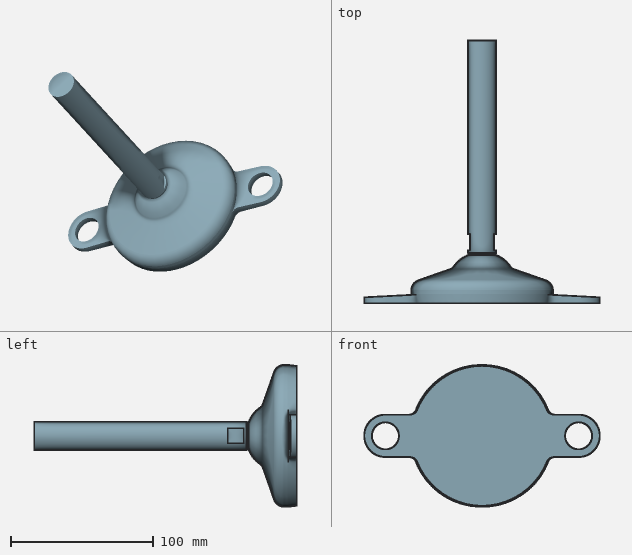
import cadquery as cq
import math

total_length = 185.0
overall_width = 166.0

foot_radius = 50.05
skirt_bottom_radius = 49.2
skirt_height = 6.5
rim_top = 9.5
cone_outer_radius = 44.5
cone_outer_height = 16.3
cone_inner_radius = 21.8
cone_inner_height = 24.2
dome_base_radius = 20.4
dome_base_height = 25.3
dome_mid_radius = 15.5
dome_mid_height = 30.7
dome_top_radius = 10.0
dome_top = 33.9

lug_radius = 15.0
lug_hole_radius = 9.5
lug_centre = overall_width / 2 - lug_radius
lug_tip_height = 4.3
lug_slope_angle = 3.0
lug_fillet = 5.0

stem_radius = 10.0
neck_radius = 9.2
neck_top = 34.8
taper_end_radius = 9.6
taper_top = 35.5
flat_distance = 8.5
flat_start = 37.4
flat_end = 48.7


def make_skirt_with_lugs():
    """Tapered lower disc joined by fillets to two sloping, pierced lugs."""
    skirt = (
        cq.Workplane("XY")
        .lineTo(skirt_bottom_radius, 0)
        .lineTo(foot_radius, skirt_height)
        .lineTo(0, skirt_height)
        .close()
        .revolve(360, (0, 0, 0), (0, 1, 0))
    )
    lug_bar = cq.Workplane("XZ").slot2D(overall_width, 2 * lug_radius).extrude(-skirt_height)
    plate = skirt.union(lug_bar)
    corner_x = math.sqrt(skirt_bottom_radius**2 - lug_radius**2)
    for side_x in (-1, 1):
        for side_z in (-1, 1):
            corner_point = (side_x * corner_x, skirt_height / 2, side_z * lug_radius)
            corner = cq.selectors.NearestToPointSelector(corner_point)
            plate = plate.edges(corner).fillet(lug_fillet)

    half_width = overall_width / 2
    rise = (half_width - skirt_bottom_radius) * math.tan(math.radians(lug_slope_angle))
    lug_root_height = lug_tip_height + rise
    side_profile = (
        cq.Workplane("XY")
        .polyline([
            (-half_width, 0),
            (half_width, 0),
            (half_width, lug_tip_height),
            (skirt_bottom_radius, lug_root_height),
            (-skirt_bottom_radius, lug_root_height),
            (-half_width, lug_tip_height),
        ])
        .close()
        .extrude(foot_radius, both=True)
    )
    body = skirt.union(plate.intersect(side_profile))

    holes = (
        cq.Workplane("XZ")
        .pushPoints([(-lug_centre, 0), (lug_centre, 0)])
        .circle(lug_hole_radius)
        .extrude(-skirt_height)
    )
    return body.cut(holes)


def make_foot():
    """Skirt and lugs topped by the rim, rounded shoulder, cone and dome."""
    upper = (
        cq.Workplane("XY")
        .moveTo(0, dome_top)
        .lineTo(dome_top_radius, dome_top)
        .threePointArc((dome_mid_radius, dome_mid_height), (dome_base_radius, dome_base_height))
        .tangentArcPoint((cone_inner_radius, cone_inner_height), relative=False)
        .lineTo(cone_outer_radius, cone_outer_height)
        .tangentArcPoint((foot_radius, rim_top), relative=False)
        .lineTo(foot_radius, skirt_height)
        .lineTo(0, skirt_height)
        .close()
        .revolve(360, (0, 0, 0), (0, 1, 0))
    )
    return make_skirt_with_lugs().union(upper)


def make_stem():
    """Round stem standing on the dome, with a short neck, a slight end taper and two spanner flats."""
    stem = (
        cq.Workplane("XY")
        .moveTo(0, dome_top)
        .lineTo(neck_radius, dome_top)
        .lineTo(neck_radius, neck_top)
        .lineTo(taper_end_radius, neck_top)
        .lineTo(stem_radius, taper_top)
        .lineTo(stem_radius, total_length)
        .lineTo(0, total_length)
        .close()
        .revolve(360, (0, 0, 0), (0, 1, 0))
    )
    for side in (-1, 1):
        flat_cutter = cq.Workplane("XY").box(
            stem_radius, flat_end - flat_start, 2 * stem_radius
        ).translate((side * (flat_distance + stem_radius / 2), (flat_start + flat_end) / 2, 0))
        stem = stem.cut(flat_cutter)
    return stem


foot = make_foot()
stem = make_stem()

result = cq.Compound.makeCompound([foot.val(), stem.val()])